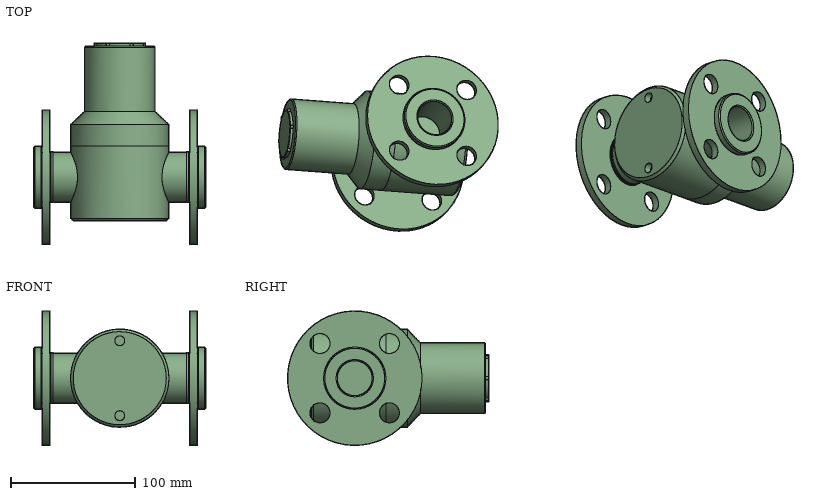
import cadquery as cq
import math


END_FACE = 69.0
FLANGE_OUTER = 62.3
FLANGE_THICKNESS = 6.1
RING_OUTER = 55.3
RING_INNER = 53.7
BORE_BOTTOM = 27.5

FLANGE_DIA = 108.0
FLANGE_BORE = 41.5
BOLT_HOLE_DIA = 16.0
BOLT_HOLE_COUNT = 4
BOLT_CIRCLE_DIA = 78.8

RING_DIA = 41.0

BODY_DIA = 79.0
BODY_BASE = -35.1
BODY_CHAMFER = 2.1
BRANCH_DIA = 40.3
COLLAR_DIA = 50.0
COLLAR_CHAMFER = 1.0
BORE_DIA = 28.0
BORE_CHAMFER = 1.0
SPANNER_HOLE_DIA = 8.0
SPANNER_HOLE_DEPTH = 6.5
SPANNER_HOLE_OFFSET = 30.1

BONNET_BASE = 25.0
CONE_BASE = 42.2
CONE_TOP = 52.7
BONNET_TOP = 105.2
BONNET_DIA = 57.0
BONNET_CHAMFER = 1.0

GRIP_TOP = 161.8 - FLANGE_DIA / 2
GRIP_DIA = 38.0
GRIP_CHAMFER = 0.5
RIB_COUNT = 6
RIB_DIA = 2.6
RIB_CIRCLE_DIA = 38.5


def cylinder_along_x(diameter, start, end):
    return cq.Workplane("YZ").workplane(offset=start).circle(diameter / 2).extrude(end - start)


def plane_along_y(y):
    """XZ plane at height y, with its normal toward +Y and local y along -Z."""
    return cq.Workplane(cq.Plane((0, y, 0), xDir=(1, 0, 0), normal=(0, 1, 0)))


def mirrored_pair(right_body):
    return [right_body, right_body.mirror("YZ")]


def make_branch():
    """Branch on the +X side: round tube ending in a chamfered collar."""
    tube = cylinder_along_x(BRANCH_DIA, 0, FLANGE_OUTER)
    collar = cylinder_along_x(COLLAR_DIA, FLANGE_OUTER, END_FACE)
    return tube.union(collar.edges().chamfer(COLLAR_CHAMFER))


def make_flow_bore():
    """Material removed from the +X branch: blind bore with a chamfered mouth."""
    bore = cylinder_along_x(BORE_DIA, BORE_BOTTOM, END_FACE)
    mouth = (
        cq.Workplane("YZ", origin=(END_FACE, 0, 0))
        .circle(BORE_DIA / 2 + BORE_CHAMFER)
        .workplane(offset=-BORE_CHAMFER)
        .circle(BORE_DIA / 2)
        .loft(ruled=True)
    )
    return bore.union(mouth)


def make_body():
    body = plane_along_y(BODY_BASE).circle(BODY_DIA / 2).extrude(BONNET_BASE - BODY_BASE)
    body = body.faces("<Y").chamfer(BODY_CHAMFER)
    for branch in mirrored_pair(make_branch()):
        body = body.union(branch)
    for bore in mirrored_pair(make_flow_bore()):
        body = body.cut(bore)
    spanner_holes = (
        plane_along_y(BODY_BASE)
        .pushPoints([(0, SPANNER_HOLE_OFFSET), (0, -SPANNER_HOLE_OFFSET)])
        .circle(SPANNER_HOLE_DIA / 2)
        .extrude(SPANNER_HOLE_DEPTH)
    )
    return body.cut(spanner_holes)


def make_bonnet():
    """Solid of revolution about Y: wide skirt, cone, then a long round neck."""
    skirt_radius = BODY_DIA / 2
    neck_radius = BONNET_DIA / 2
    profile = [
        (0, BONNET_BASE),
        (skirt_radius, BONNET_BASE),
        (skirt_radius, CONE_BASE),
        (neck_radius, CONE_TOP),
        (neck_radius, BONNET_TOP),
        (0, BONNET_TOP),
    ]
    bonnet = cq.Workplane("XY").polyline(profile).close().revolve(360, (0, 0), (0, 1))
    return bonnet.faces(">Y").chamfer(BONNET_CHAMFER)


def make_grip():
    """Chamfered disc with round ribs standing out of its rim."""
    height = GRIP_TOP - BONNET_TOP
    disc = plane_along_y(BONNET_TOP).circle(GRIP_DIA / 2).extrude(height)
    disc = disc.faces(">Y").chamfer(GRIP_CHAMFER)
    ribs = (
        plane_along_y(BONNET_TOP)
        .polarArray(RIB_CIRCLE_DIA / 2, 0, 360, RIB_COUNT)
        .circle(RIB_DIA / 2)
        .extrude(height)
    )
    return disc.union(ribs)


def make_ring():
    """Retaining ring around the +X branch."""
    ring = cylinder_along_x(RING_DIA, RING_INNER, RING_OUTER)
    return ring.cut(cylinder_along_x(BRANCH_DIA, RING_INNER, RING_OUTER))


def make_flange():
    """Loose flange on the +X side, with its bolt holes at 45 degrees to the axes."""
    inner_face = FLANGE_OUTER - FLANGE_THICKNESS
    flange = cylinder_along_x(FLANGE_DIA, inner_face, FLANGE_OUTER)
    flange = flange.cut(cylinder_along_x(FLANGE_BORE, inner_face, FLANGE_OUTER))
    for index in range(BOLT_HOLE_COUNT):
        angle = 2 * math.pi * (index + 0.5) / BOLT_HOLE_COUNT
        y = BOLT_CIRCLE_DIA / 2 * math.cos(angle)
        z = BOLT_CIRCLE_DIA / 2 * math.sin(angle)
        hole = cylinder_along_x(BOLT_HOLE_DIA, inner_face, FLANGE_OUTER)
        flange = flange.cut(hole.translate((0, y, z)))
    return flange


body = make_body()
bonnet = make_bonnet()
grip = make_grip()
rings = mirrored_pair(make_ring())
flanges = mirrored_pair(make_flange())

result = cq.Compound.makeCompound([
    body.val(),
    bonnet.val(),
    grip.val(),
    *[ring.val() for ring in rings],
    *[flange.val() for flange in flanges],
])